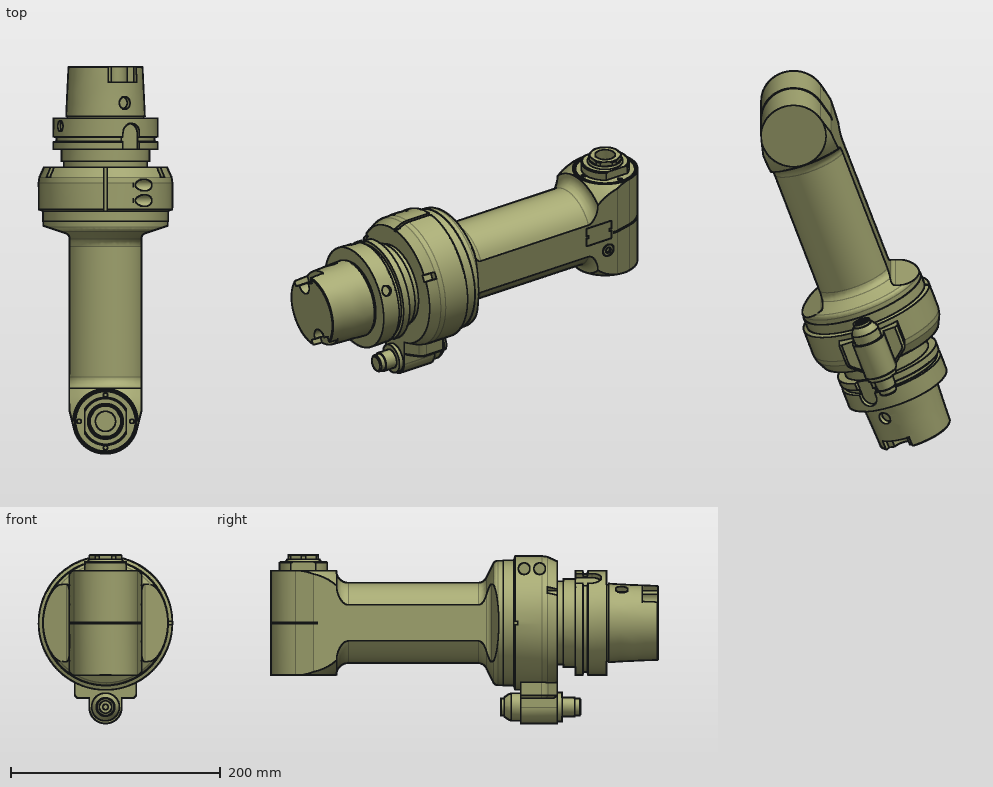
import cadquery as cq
import math


rear_y = 369.5
taper_root_y = 322.2
flange_rear_y = 320.5
flange_front_y = 290.5
neck_step_y = 279.0
ring_rear_y = 273.5
ring_front_y = 231.5
head_y = 31.0

taper_end_r = 35.5
taper_root_r = 37.7
root_groove_r = 36.5
rear_chamfer = 0.7
flange_r = 50.0
neck_r = 42.0
journal_r = 40.0
gripper_groove_r = 47.0
gripper_groove_rear_y = 302.5
gripper_groove_front_y = 297.5
gripper_groove_slant = 0.7
key_angle = 60.0
key_flat_distance = 26.5
key_flat_width = 31.0
key_scallop_r = 9.0
key_depths = {key_angle: 15.0, key_angle + 180: 10.0}
clamp_hole_d = 12.0
clamp_hole_y = 334.8
clamp_hole_floor_r = 31.0
flange_slot_width = 18.0
flange_slot_rear_y = 315.0
flange_slot_floor = 44.7
coolant_hole_d = 10.0
coolant_hole_depth = 3.0
coolant_hole_y = 312.5
coolant_hole_angle = 150.0

ring_r = 64.0
ring_rear_r = 58.8
ring_shoulder_r = 63.0
ring_shoulder_y = 264.0
ring_full_y = 258.5
ring_front_bevel = 1.5
split_width = 3.5
split_floor_r = 57.5
notch_length = 3.7
spanner_slot_width = 6.5
spanner_slot_floor_r = 55.5
spanner_angles = (30.0, 150.0)
clamp_screw_d = 11.0
clamp_screw_z = 51.7
clamp_screw_seat_x = 26.5
clamp_screw_ys = (256.5, 241.5)
bracket_front_y = 238.5
bracket_half_width = 29.5
bracket_bottom_z = -71.5
bracket_chamfer = 2.5
bracket_side_rear_y = 261.5
bracket_edge_fillet = 8.0
lobe_r = 15.5
lobe_z = -80.5

pin_z = -80.0
pin_rear_y = 295.5
pin_tail_r = 8.0
pin_stem_r = 9.2
pin_stem_rear_y = 289.7
pin_collar_r = 14.0
pin_collar_length = 4.5
pin_shaft_r = 9.5
pin_nose_r = 13.3
pin_nose_y = 229.5
pin_ogive_bulge_r = 12.0
pin_ogive_bulge_y = 226.0
pin_ogive_end_r = 9.0
pin_tip_r = 8.0
pin_tip_y = 222.5
pin_front_y = 219.5
pin_bore_d = 12.0
pin_bore_depth = 1.5
pin_center_d = 5.0
pin_center_depth = 3.0

collar_r = 60.0
collar_step_y = 221.7
collar_land_r = 59.5
collar_front_y = 213.5
collar_fillet = 4.8
cone_slope = 2.0
tube_r = 38.5
blend_r = 11.0
tube_fillet = 8.0
flat_x = 34.5
side_cut_slope = 3.0
side_cut_end_y = 209.0
side_cut_fillet = 4.8
nose_r = 31.0
nose_taper = 14.0
head_half_height = 50.0
seam_width = 1.0
seam_depth = 0.5
seam_rear_y = 44.5
plate_rear_y = 76.0
plate_front_y = 47.3
plate_top_z = 14.0
plate_bottom_z = -5.0
plate_thickness = 0.5
plate_corner = 1.0
rivet_d = 2.5
plug_y = 50.5
plug_z = -17.5
plug_d = 12.5
plug_groove_width = 0.5
plug_depth = 0.5
plug_socket_d = 6.0
plug_socket_depth = 2.0

recess_r = 29.5
recess_depth = 2.0
cap_r = 28.5
cap_hole_d = 4.0
cap_hole_circle_r = 25.0
cap_hole_depth = 1.0
nut_r = 23.0
nut_half_flats = 19.5
nut_top_z = 58.5
nut_chamfer = 1.0
cone_top_z = 60.5
cone_bottom_r = 17.0
hex_flats = 29.0
hex_corner_r = 15.5
spindle_top_z = 65.0
hex_chamfer = 0.7
bore_d = 19.2
bore_depth = 11.0


def turned(profile):
    """Solid of revolution about the Y axis from a closed (radius, Y) half profile."""
    return profile.close().revolve(360, (0, 0, 0), (0, 1, 0))


def box(x_range, y_range, z_range):
    """Axis-aligned block between pairs of limits."""
    limits = (x_range, y_range, z_range)
    size = [high - low for low, high in limits]
    middle = [(high + low) / 2 for low, high in limits]
    return cq.Workplane("XY").box(*size).translate(tuple(middle))


def rod_y(radius, front_y, rear_y, z=0.0):
    """Cylinder along Y at x = 0."""
    plane = cq.Workplane("XZ", origin=(0, rear_y, z))
    return plane.circle(radius).extrude(rear_y - front_y)


def turn_about_y(shape, angle):
    """Move a feature made on the +X side to an angle measured from +X towards +Z."""
    return shape.rotate((0, 0, 0), (0, 1, 0), -angle)


def radial_hole(diameter, inner_r, y, angle):
    """Radial hole from inner_r outwards, past every surface."""
    plane = cq.Workplane("YZ", origin=(inner_r, y, 0))
    return turn_about_y(plane.circle(diameter / 2).extrude(2 * ring_r), angle)


def edges_near_y(y):
    """Selector for every edge centred on the given Y."""
    reach = 2 * ring_r
    margin = 0.5
    return cq.selectors.BoxSelector((-reach, y - margin, -reach), (reach, y + margin, reach))


def make_shank():
    slant = gripper_groove_slant
    shank = turned(
        cq.Workplane("XY")
        .moveTo(0, rear_y)
        .lineTo(taper_end_r - rear_chamfer, rear_y)
        .lineTo(taper_end_r, rear_y - rear_chamfer)
        .lineTo(taper_root_r, taper_root_y)
        .lineTo(root_groove_r, taper_root_y)
        .lineTo(root_groove_r, flange_rear_y)
        .lineTo(flange_r, flange_rear_y)
        .lineTo(flange_r, gripper_groove_rear_y)
        .lineTo(gripper_groove_r, gripper_groove_rear_y - slant)
        .lineTo(gripper_groove_r, gripper_groove_front_y + slant)
        .lineTo(flange_r, gripper_groove_front_y)
        .lineTo(flange_r, flange_front_y)
        .lineTo(neck_r, flange_front_y)
        .lineTo(neck_r, neck_step_y)
        .lineTo(journal_r, neck_step_y)
        .lineTo(journal_r, ring_front_y)
        .lineTo(0, ring_front_y)
    )
    slot_half = flange_slot_width / 2
    slot_round_y = flange_slot_rear_y - slot_half
    for angle, depth in key_depths.items():
        flat = box(
            (key_flat_distance, flange_r),
            (rear_y - depth, rear_y),
            (-key_flat_width / 2, key_flat_width / 2),
        )
        scallop = rod_y(key_scallop_r, rear_y - depth, rear_y)
        scallop = scallop.translate((key_flat_distance, 0, 0))
        notch = box((flange_slot_floor, ring_r), (flange_front_y, slot_round_y), (-slot_half, slot_half))
        for cutter in (flat, scallop, notch):
            shank = shank.cut(turn_about_y(cutter, angle))
        shank = shank.cut(radial_hole(flange_slot_width, flange_slot_floor, slot_round_y, angle))
        shank = shank.cut(radial_hole(clamp_hole_d, clamp_hole_floor_r, clamp_hole_y, angle))
    hole_floor_r = flange_r - coolant_hole_depth
    return shank.cut(radial_hole(coolant_hole_d, hole_floor_r, coolant_hole_y, coolant_hole_angle))


def make_bracket():
    block = (
        cq.Workplane("XY", origin=(0, 0, bracket_bottom_z))
        .moveTo(-bracket_half_width, bracket_front_y)
        .lineTo(bracket_half_width, bracket_front_y)
        .lineTo(bracket_half_width, bracket_side_rear_y)
        .lineTo(lobe_r, ring_rear_y)
        .lineTo(-lobe_r, ring_rear_y)
        .lineTo(-bracket_half_width, bracket_side_rear_y)
        .close()
        .extrude(-bracket_bottom_z)
    )
    block = block.edges(edges_near_y(bracket_side_rear_y)).fillet(bracket_edge_fillet)
    block = block.faces("<Z").edges("<X or >X").chamfer(bracket_chamfer)
    lobe = rod_y(lobe_r, bracket_front_y, ring_rear_y, lobe_z)
    web = box((-lobe_r, lobe_r), (bracket_front_y, ring_rear_y), (lobe_z, 0))
    return block.union(lobe).union(web)


def make_ring():
    ring = turned(
        cq.Workplane("XY")
        .moveTo(0, ring_rear_y)
        .lineTo(ring_rear_r, ring_rear_y)
        .lineTo(ring_shoulder_r, ring_shoulder_y)
        .lineTo(ring_r, ring_full_y)
        .lineTo(ring_r, ring_front_y + ring_front_bevel)
        .lineTo(collar_r, ring_front_y)
        .lineTo(0, ring_front_y)
    )
    ring = ring.union(make_bracket())
    ring = ring.cut(rod_y(journal_r, ring_front_y, ring_rear_y))
    ring = ring.cut(rod_y(pin_shaft_r, bracket_front_y, ring_rear_y, pin_z))
    half_split = split_width / 2
    groove = box((split_floor_r, 2 * ring_r), (ring_front_y, ring_rear_y), (-half_split, half_split))
    notch_y = (ring_front_y, ring_front_y + notch_length)
    notch = box((split_floor_r, 2 * ring_r), notch_y, (-half_split, half_split))
    ring = ring.cut(turn_about_y(groove, 90)).cut(notch)
    spanner_slot = box(
        (spanner_slot_floor_r, 2 * ring_r),
        (ring_shoulder_y, ring_rear_y),
        (-spanner_slot_width / 2, spanner_slot_width / 2),
    )
    for angle in spanner_angles:
        ring = ring.cut(turn_about_y(spanner_slot, angle))
    for y in clamp_screw_ys:
        seat = cq.Workplane("YZ", origin=(clamp_screw_seat_x, y, clamp_screw_z))
        ring = ring.cut(seat.circle(clamp_screw_d / 2).extrude(ring_r))
    return ring


def make_pin():
    tail_chamfer = pin_stem_r - pin_tail_r
    pin = turned(
        cq.Workplane("XY")
        .moveTo(0, pin_rear_y)
        .lineTo(pin_tail_r - tail_chamfer, pin_rear_y)
        .lineTo(pin_tail_r, pin_rear_y - tail_chamfer)
        .lineTo(pin_tail_r, pin_stem_rear_y)
        .lineTo(pin_stem_r, pin_stem_rear_y)
        .lineTo(pin_stem_r, ring_rear_y + pin_collar_length)
        .lineTo(pin_collar_r, ring_rear_y + pin_collar_length)
        .lineTo(pin_collar_r, ring_rear_y)
        .lineTo(pin_shaft_r, ring_rear_y)
        .lineTo(pin_shaft_r, bracket_front_y)
        .lineTo(pin_nose_r, bracket_front_y)
        .lineTo(pin_nose_r, pin_nose_y)
        .threePointArc((pin_ogive_bulge_r, pin_ogive_bulge_y), (pin_ogive_end_r, pin_tip_y))
        .lineTo(pin_tip_r, pin_tip_y)
        .lineTo(pin_tip_r, pin_front_y)
        .lineTo(0, pin_front_y)
    )
    pin = pin.cut(rod_y(pin_bore_d / 2, pin_front_y, pin_front_y + pin_bore_depth))
    pin = pin.cut(rod_y(pin_center_d / 2, pin_front_y, pin_front_y + pin_center_depth))
    return pin.translate((0, 0, pin_z))


def make_plan_outline(inset=0.0):
    """Prism of the arm outline along Z: side cuts, flats and a tapered round nose, drawn in by inset."""
    half_width = flat_x - inset
    end_r = nose_r - inset
    slope = math.radians(nose_taper)
    tangent_x = end_r * math.cos(slope)
    tangent_y = head_y - end_r * math.sin(slope)
    taper_start_y = tangent_y + (half_width - tangent_x) / math.tan(slope)
    side_cut_start_y = side_cut_end_y + (collar_r - half_width) / side_cut_slope
    outline = (
        cq.Workplane("XY", origin=(0, 0, -collar_r))
        .moveTo(-collar_r, ring_front_y)
        .lineTo(-collar_r, side_cut_start_y)
        .lineTo(-half_width, side_cut_end_y)
        .lineTo(-half_width, taper_start_y)
        .lineTo(-tangent_x, tangent_y)
        .threePointArc((0, head_y - end_r), (tangent_x, tangent_y))
        .lineTo(half_width, taper_start_y)
        .lineTo(half_width, side_cut_end_y)
        .lineTo(collar_r, side_cut_start_y)
        .lineTo(collar_r, ring_front_y)
        .close()
        .extrude(2 * collar_r)
    )
    corners = cq.selectors.BoxSelector(
        (-flat_x - 0.5, side_cut_end_y - 0.5, -3.7), (flat_x + 0.5, side_cut_end_y + 0.5, 3.7)
    )
    return outline.edges(corners).fillet(side_cut_fillet)


def make_arm_body():
    ball_r = math.hypot(head_half_height, nose_r)
    cone_end_y = collar_front_y - (collar_land_r - tube_r) / cone_slope
    blend_end_r = tube_r + blend_r
    blend_end_y = head_y + math.sqrt(ball_r**2 - blend_end_r**2)
    blend_mid = blend_r * (1 - math.sqrt(0.5))
    ball_mid = math.atan2(blend_end_y - head_y, blend_end_r) / 2
    profile = (
        cq.Workplane("XY")
        .moveTo(0, ring_front_y)
        .lineTo(collar_r, ring_front_y)
        .lineTo(collar_r, collar_step_y)
        .lineTo(collar_land_r, collar_step_y)
        .lineTo(collar_land_r, collar_front_y)
        .lineTo(tube_r, cone_end_y)
        .lineTo(tube_r, blend_end_y + blend_r)
        .threePointArc((tube_r + blend_mid, blend_end_y + blend_mid), (blend_end_r, blend_end_y))
        .threePointArc(
            (ball_r * math.cos(ball_mid), head_y + ball_r * math.sin(ball_mid)), (ball_r, head_y)
        )
        .lineTo(ball_r, 0)
        .lineTo(0, 0)
    )
    body = turned(profile)
    for y, radius in ((collar_front_y, collar_fillet), (cone_end_y, tube_fillet)):
        body = body.edges(edges_near_y(y)).fillet(radius)
    body = body.intersect(make_plan_outline())
    for z_limits in ((head_half_height, ball_r), (-ball_r, -head_half_height)):
        body = body.cut(box((-ball_r, ball_r), (0, blend_end_y + blend_r), z_limits))
    return body


def make_name_plate():
    """Thin plate on the -X flat with a notch at each end."""
    plate = box(
        (-flat_x - plate_thickness, -flat_x), (plate_front_y, plate_rear_y), (plate_bottom_z, plate_top_z)
    )
    plate = plate.edges("|X").fillet(plate_corner)
    middle_z = (plate_bottom_z + plate_top_z) / 2
    for y in (plate_front_y + rivet_d / 2, plate_rear_y - rivet_d / 2):
        notch = cq.Workplane("YZ", origin=(-flat_x - plate_thickness, y, middle_z))
        plate = plate.cut(notch.rect(rivet_d, rivet_d).extrude(plate_thickness))
    return plate


def make_arm():
    arm = make_arm_body()
    seam_core = make_plan_outline(seam_depth)
    seam_block = box((-collar_r, collar_r), (0, seam_rear_y), (-seam_width / 2, seam_width / 2))
    arm = arm.cut(seam_block.cut(seam_core))
    plug = cq.Workplane("YZ", origin=(-flat_x, plug_y, plug_z))
    arm = arm.cut(plug.circle(plug_d / 2).circle(plug_d / 2 - plug_groove_width).extrude(plug_depth))
    arm = arm.cut(plug.circle(plug_socket_d / 2).extrude(plug_socket_depth))
    seat = cq.Workplane("XY", origin=(0, head_y, head_half_height - recess_depth))
    arm = arm.cut(seat.circle(recess_r).extrude(recess_depth))
    return arm.union(make_name_plate())


def make_spindle():
    seat_z = head_half_height - recess_depth
    cap = cq.Workplane("XY", origin=(0, 0, seat_z)).circle(cap_r).extrude(recess_depth)
    holes = cq.Workplane("XY", origin=(0, 0, head_half_height - cap_hole_depth))
    holes = holes.polarArray(cap_hole_circle_r, 0, 360, 4).circle(cap_hole_d / 2).extrude(cap_hole_depth)
    nut = cq.Workplane("XY", origin=(0, 0, head_half_height)).circle(nut_r)
    nut = nut.extrude(nut_top_z - head_half_height).faces(">Z").edges().chamfer(nut_chamfer)
    flats = box((-nut_half_flats, nut_half_flats), (-nut_r, nut_r), (head_half_height, nut_top_z))
    nut = nut.intersect(flats)
    cone = cq.Workplane("XY", origin=(0, 0, nut_top_z)).circle(cone_bottom_r)
    cone = cone.workplane(offset=cone_top_z - nut_top_z).circle(hex_corner_r).loft()
    height = spindle_top_z - cone_top_z
    hexagon = cq.Workplane("XY", origin=(0, 0, cone_top_z))
    hexagon = hexagon.polygon(6, hex_flats / math.cos(math.radians(30))).extrude(height)
    corner_round = cq.Workplane("XY", origin=(0, 0, cone_top_z)).circle(hex_corner_r).extrude(height)
    hexagon = hexagon.intersect(corner_round.faces(">Z").edges().chamfer(hex_chamfer))
    bore = cq.Workplane("XY", origin=(0, 0, spindle_top_z - bore_depth)).circle(bore_d / 2).extrude(bore_depth)
    spindle = cap.cut(holes).union(nut).union(cone).union(hexagon).cut(bore)
    return spindle.translate((0, head_y, 0))


shank = make_shank()
ring = make_ring()
pin = make_pin()
arm = make_arm()
spindle = make_spindle()
result = cq.Compound.makeCompound([shank.val(), ring.val(), pin.val(), arm.val(), spindle.val()])